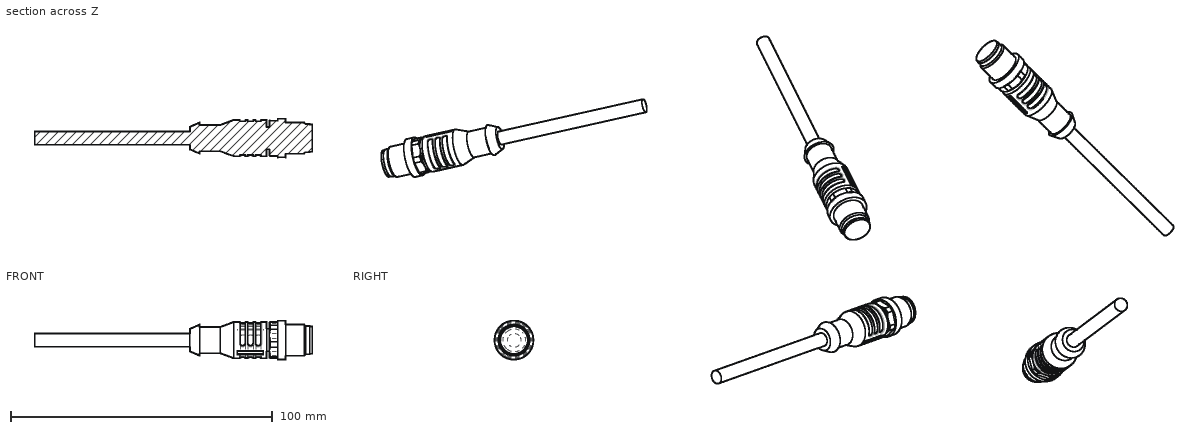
import cadquery as cq
import math


length = 106.0
boot_start = 59.3
collar_end = 63.0
sleeve_end = 70.9
grip_start = 76.0
grip_end = 88.5
nut_start = 89.6
flange_start = 92.8
flange_end = 95.8
barrel_end = 102.8
tip_start = 103.5
tip_end_start = 105.0

cable_dia = 5.2
boot_face_dia = 8.7
collar_dia = 12.0
sleeve_dia = 10.2
grip_dia = 14.0
neck_dia = 8.7
nut_dia = 14.0
flange_dia = 14.9
barrel_dia = 12.0
tip_dia = 10.8
tip_end_dia = 10.5

flat_count = 6
nut_across_flats = 13.0
nut_first_flat_angle = 16.0
nut_chamfer = 0.4

groove_count = 3
groove_pitch = 3.0
groove_depth = 0.5
groove_width = 2.0
groove_rim_fillet = 0.26
groove_half_sweep = 55.0
groove_angles = (45.0, 225.0)
recess_length = 10.0
recess_width = 1.7
recess_floor_radius = 6.6
recess_angles = (-45.0, 135.0)
relief_center = 82.4

clearance = 0.5

tolerance = 0.001


def along_x(start, end, diameter):
    """Solid cylinder on the X axis between two stations."""
    return cq.Workplane("YZ", origin=(start, 0, 0)).circle(diameter / 2).extrude(end - start)


def turn(shape, angle):
    """Turn a shape made on the -Y side about X, with positive angles going towards +Z."""
    return shape.rotate((0, 0, 0), (1, 0, 0), -angle)


def turned_body():
    """Revolve the stepped outline of the cable, boot, grip, neck, nut, flange and plug."""
    outline = [
        (0, cable_dia),
        (boot_start, cable_dia),
        (boot_start, boot_face_dia),
        (collar_end, collar_dia),
        (collar_end, sleeve_dia),
        (sleeve_end, sleeve_dia),
        (grip_start, grip_dia),
        (grip_end, grip_dia),
        (grip_end, neck_dia),
        (nut_start, neck_dia),
        (nut_start, nut_dia - 2 * nut_chamfer),
        (nut_start + nut_chamfer, nut_dia),
        (flange_start, nut_dia),
        (flange_start, flange_dia),
        (flange_end, flange_dia),
        (flange_end, barrel_dia),
        (barrel_end, barrel_dia),
        (tip_start, tip_dia),
        (tip_end_start, tip_dia),
        (tip_end_start, tip_end_dia),
        (length, tip_end_dia),
    ]
    points = [(0, 0)] + [(x, diameter / 2) for x, diameter in outline] + [(length, 0)]
    return cq.Workplane("XY").polyline(points).close().revolve(360, (0, 0, 0), (1, 0, 0))


def nut_flat_cutter():
    """Material outside the hexagon, whose flats leave round stretches at the corners."""
    hexagon = (
        cq.Workplane("YZ", origin=(nut_start, 0, 0))
        .polygon(flat_count, nut_across_flats / math.cos(math.pi / flat_count))
        .extrude(flange_start - nut_start)
    )
    hexagon = turn(hexagon, nut_first_flat_angle - 180 / flat_count)
    return along_x(nut_start, flange_start, flange_dia).cut(hexagon)


def finger_groove_cutter():
    """Straight-walled groove wrapped around the grip and centred on -Y, with rounded ends."""
    outer_radius = grip_dia / 2 + clearance
    half_width = groove_width / 2

    section = cq.Sketch().push([(0, -outer_radius / 2)]).rect(groove_width, outer_radius)
    sector = cq.Workplane("XY").placeSketch(section)
    sector = sector.revolve(2 * groove_half_sweep, (0, 0, 0), (-1, 0, 0))
    groove = turn(sector, -groove_half_sweep)

    round_end = cq.Workplane("XZ").circle(half_width).extrude(outer_radius)
    for end_angle in (-groove_half_sweep, groove_half_sweep):
        groove = groove.union(turn(round_end, end_angle))
    return groove.cut(along_x(-half_width, half_width, grip_dia - 2 * groove_depth))


def is_groove_rim(edge):
    """True for a curved edge lying on the grip surface, away from the two ends of the grip."""
    if edge.geomType() == "LINE":
        return False
    if not grip_start + tolerance < edge.Center().x < grip_end - tolerance:
        return False
    samples = edge.positions([0, 0.5, 1])
    return all(abs(math.hypot(p.y, p.z) - grip_dia / 2) < tolerance for p in samples)


def recess_cutter():
    """Long flat-floored recess on the -Y side of the grip."""
    height = grip_dia / 2 + clearance - recess_floor_radius
    return cq.Workplane("XY").box(recess_length, height, recess_width).translate(
        (relief_center, -recess_floor_radius - height / 2, 0)
    )


result = turned_body().cut(nut_flat_cutter())

finger_groove = finger_groove_cutter()
for index in range(groove_count):
    groove_x = relief_center + (index - (groove_count - 1) / 2) * groove_pitch
    for angle in groove_angles:
        result = result.cut(turn(finger_groove, angle).translate((groove_x, 0, 0)))

result = result.edges().filter(is_groove_rim).fillet(groove_rim_fillet)

for angle in recess_angles:
    result = result.cut(turn(recess_cutter(), angle))